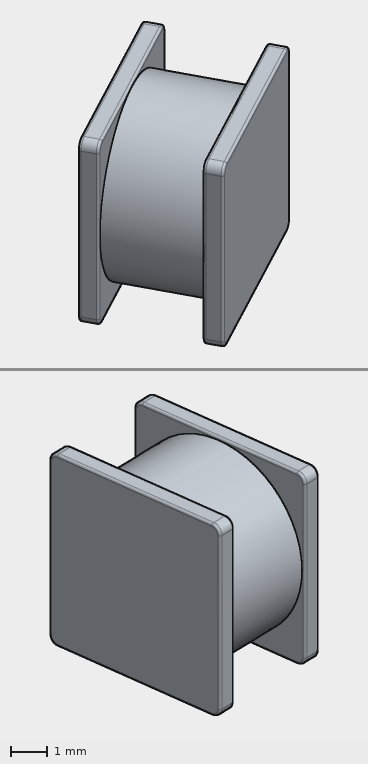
import cadquery as cq

flange_side = 6.2
total_length = 4.2

flange_thickness = 0.6
corner_radius = 0.3
edge_radius = 0.08

drum_diameter = 6.0
drum_length = total_length - 2 * flange_thickness


def make_flange(center_x):
    """Square plate with rounded corners and softened face edges."""
    return (
        cq.Workplane("XY")
        .box(flange_thickness, flange_side, flange_side)
        .edges("|X")
        .fillet(corner_radius)
        .faces("<X or >X")
        .edges()
        .fillet(edge_radius)
        .translate((center_x, 0, 0))
    )


result = cq.Workplane("YZ").circle(drum_diameter / 2).extrude(drum_length / 2, both=True)

flange_offset = (total_length - flange_thickness) / 2
for side in (-1, 1):
    result = result.union(make_flange(side * flange_offset))